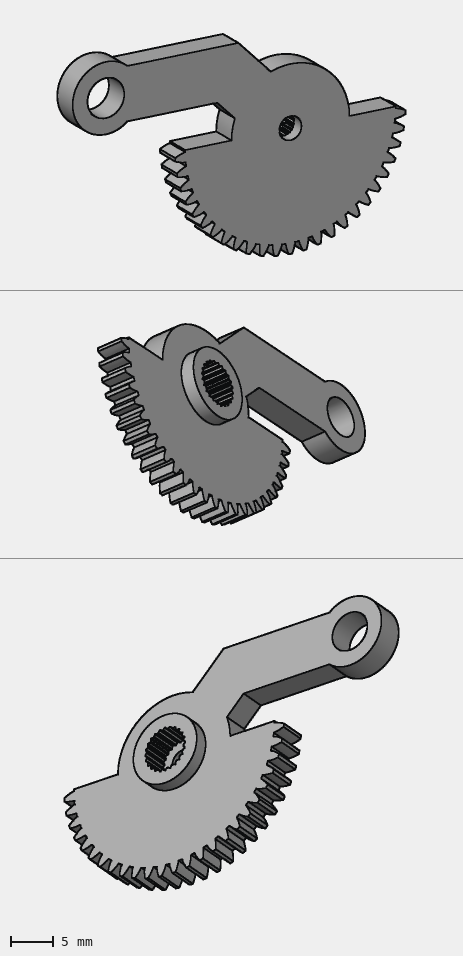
import cadquery as cq
import math

OVERALL_LENGTH = 45.1

PLATE_THICKNESS = 3.5
BOSS_HEIGHT = 1.8

GEAR_TEETH = 50
SECTOR_TEETH = GEAR_TEETH // 2
PITCH_RADIUS = 15.0
PRESSURE_ANGLE = math.radians(20)
DEDENDUM_FACTOR = 1.25
MODULE = 2 * PITCH_RADIUS / GEAR_TEETH
TIP_RADIUS = PITCH_RADIUS + MODULE
ROOT_RADIUS = PITCH_RADIUS - DEDENDUM_FACTOR * MODULE
BASE_RADIUS = PITCH_RADIUS * math.cos(PRESSURE_ANGLE)
TOOTH_PITCH = 2 * math.pi / GEAR_TEETH
FLANK_STEPS = 3

HUB_RADIUS = 8.0
BOSS_RADIUS = 4.5
BORE_RADIUS = 1.5

SPLINE_TEETH = 24
SPLINE_OUTER_RADIUS = 2.85
SPLINE_INNER_RADIUS = 2.6
GROOVE_MOUTH_WIDTH = 0.55
GROOVE_FLOOR_WIDTH = 0.1
SPLINE_DEPTH = 3.6

EYE_Z = 8.48
EYE_RADIUS = 4.5
EYE_HOLE_RADIUS = 2.5
ARM_WIDTH = 6.9
ARM_BEND = math.radians(45)


def polar(radius, angle):
    return (radius * math.cos(angle), radius * math.sin(angle))


def half_tooth_angle(radius):
    """Half the angle that an involute tooth spans at the given radius."""
    def involute(angle):
        return math.tan(angle) - angle

    flank_angle = math.acos(BASE_RADIUS / radius)
    return TOOTH_PITCH / 4 + involute(PRESSURE_ANGLE) - involute(flank_angle)


def sector_reach():
    """Distance along Y from the gear axis to the tip corner of an end tooth."""
    return TIP_RADIUS * math.cos(TOOTH_PITCH / 2 - half_tooth_angle(TIP_RADIUS))


EYE_Y = -(OVERALL_LENGTH - sector_reach() - EYE_RADIUS)


def disc(radius, start_x, length):
    """Cylinder along X, centred on the gear axis."""
    return cq.Workplane("YZ").workplane(offset=start_x).circle(radius).extrude(length)


def gear_sector():
    """Half gear below Z = 0, with a half tooth gap at each end."""
    radii = [
        ROOT_RADIUS + (TIP_RADIUS - ROOT_RADIUS) * step / FLANK_STEPS
        for step in range(FLANK_STEPS + 1)
    ]
    gap_half_angle = TOOTH_PITCH / 2 - half_tooth_angle(ROOT_RADIUS)
    outline = cq.Workplane("YZ").moveTo(-ROOT_RADIUS, 0)
    outline = outline.threePointArc(
        polar(ROOT_RADIUS, math.pi + gap_half_angle / 2),
        polar(ROOT_RADIUS, math.pi + gap_half_angle),
    )
    for tooth in range(SECTOR_TEETH):
        middle = math.pi + (tooth + 0.5) * TOOTH_PITCH
        rising = [polar(r, middle - half_tooth_angle(r)) for r in radii]
        falling = [polar(r, middle + half_tooth_angle(r)) for r in reversed(radii)]
        gap_middle = middle + TOOTH_PITCH / 2
        outline = outline.spline(rising[1:], includeCurrent=True)
        outline = outline.threePointArc(polar(TIP_RADIUS, middle), falling[0])
        outline = outline.spline(falling[1:], includeCurrent=True)
        if tooth < SECTOR_TEETH - 1:
            outline = outline.threePointArc(
                polar(ROOT_RADIUS, gap_middle),
                polar(ROOT_RADIUS, gap_middle + gap_half_angle),
            )
    outline = outline.threePointArc(
        polar(ROOT_RADIUS, -gap_half_angle / 2),
        (ROOT_RADIUS, 0),
    )
    return outline.close().extrude(PLATE_THICKNESS)


def arm():
    """Bent arm of constant width whose centre line bends at 45 degrees."""
    half_width = ARM_WIDTH / 2
    bend_shift = half_width * math.tan(ARM_BEND / 2)
    edge_shift = half_width * math.sin(ARM_BEND)
    return (
        cq.Workplane("YZ")
        .moveTo(edge_shift, edge_shift)
        .lineTo(-EYE_Z + bend_shift, EYE_Z + half_width)
        .lineTo(EYE_Y, EYE_Z + half_width)
        .lineTo(EYE_Y, EYE_Z - half_width)
        .lineTo(-EYE_Z - bend_shift, EYE_Z - half_width)
        .lineTo(-edge_shift, -edge_shift)
        .close()
        .extrude(PLATE_THICKNESS)
    )


def arm_eye(radius):
    return cq.Workplane("YZ").center(EYE_Y, EYE_Z).circle(radius).extrude(PLATE_THICKNESS)


def spline_socket():
    """Round cutter with one tapered groove every spline pitch."""
    pitch = 2 * math.pi / SPLINE_TEETH
    half_floor = math.asin(GROOVE_FLOOR_WIDTH / 2 / SPLINE_OUTER_RADIUS)
    half_mouth = math.asin(GROOVE_MOUTH_WIDTH / 2 / SPLINE_INNER_RADIUS)
    outline = cq.Workplane("YZ").workplane(offset=-BOSS_HEIGHT)
    outline = outline.moveTo(*polar(SPLINE_INNER_RADIUS, -half_mouth))
    for tooth in range(SPLINE_TEETH):
        groove = tooth * pitch
        outline = outline.lineTo(*polar(SPLINE_OUTER_RADIUS, groove - half_floor))
        outline = outline.lineTo(*polar(SPLINE_OUTER_RADIUS, groove + half_floor))
        outline = outline.lineTo(*polar(SPLINE_INNER_RADIUS, groove + half_mouth))
        outline = outline.threePointArc(
            polar(SPLINE_INNER_RADIUS, groove + pitch / 2),
            polar(SPLINE_INNER_RADIUS, groove + pitch - half_mouth),
        )
    return outline.close().extrude(SPLINE_DEPTH)


body = gear_sector()
body = body.union(disc(HUB_RADIUS, 0, PLATE_THICKNESS))
body = body.union(disc(BOSS_RADIUS, -BOSS_HEIGHT, BOSS_HEIGHT))
body = body.union(arm())
body = body.union(arm_eye(EYE_RADIUS))

body = body.cut(disc(BORE_RADIUS, -BOSS_HEIGHT, BOSS_HEIGHT + PLATE_THICKNESS))
body = body.cut(spline_socket())
result = body.cut(arm_eye(EYE_HOLE_RADIUS))